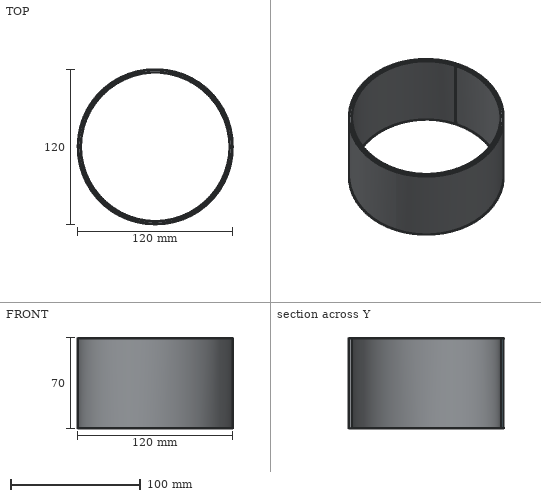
import cadquery as cq

outer_diameter = 120.0
wall_thickness = 2.5
height = 70.0
outer_chamfer = 0.5
bore_chamfer = 0.2
slit_width = 1.0

outer_radius = outer_diameter / 2
inner_radius = outer_radius - wall_thickness


def make_sleeve():
    """Thin tube standing on the XY plane, with all four rim edges chamfered."""
    wall_profile = [
        (inner_radius + bore_chamfer, 0),
        (outer_radius - outer_chamfer, 0),
        (outer_radius, outer_chamfer),
        (outer_radius, height - outer_chamfer),
        (outer_radius - outer_chamfer, height),
        (inner_radius + bore_chamfer, height),
        (inner_radius, height - bore_chamfer),
        (inner_radius, bore_chamfer),
    ]
    return cq.Workplane("XZ").polyline(wall_profile).close().revolve(360, (0, 0), (0, 1))


def make_slit():
    """Full-height cutter through the -X wall, with one face on the XZ plane."""
    cutter_length = 2 * wall_thickness
    return cq.Workplane("XY").box(
        cutter_length, slit_width, height, centered=(True, False, False)
    ).translate((wall_thickness / 2 - outer_radius, 0, 0))


result = make_sleeve().cut(make_slit())